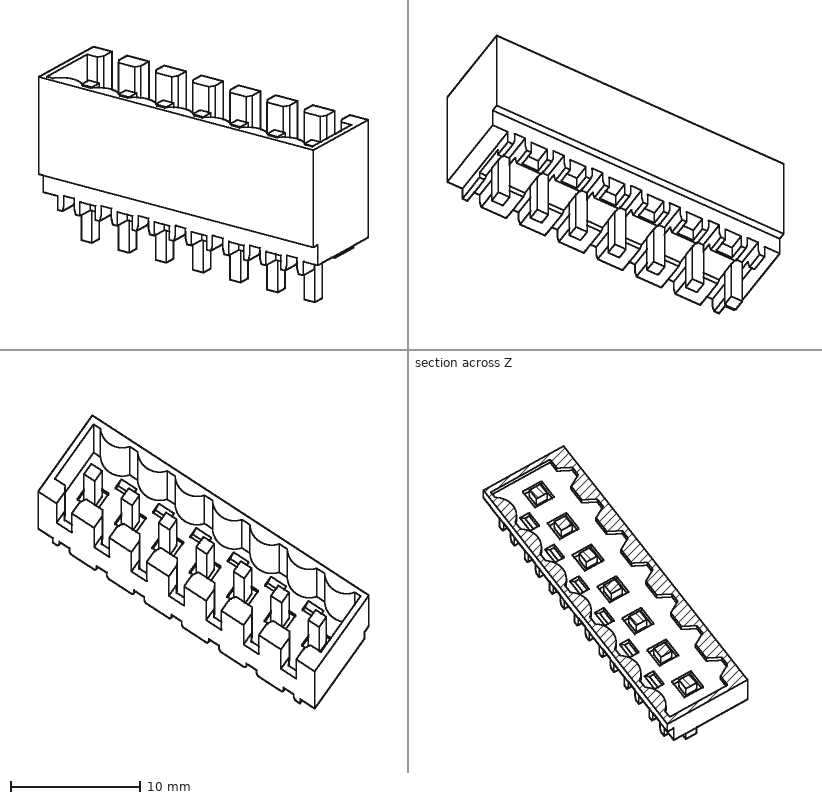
import cadquery as cq


PIN_COUNT = 7
ROW_SPAN = 21.0
PITCH = ROW_SPAN / (PIN_COUNT - 1)
PIN_SIDE = 1.0
PIN_Y = 3.5
PIN_TAIL = 3.2
PIN_TOP = 9.85

LENGTH = 25.9
DEPTH = 7.45
HEIGHT = 11.03
LEDGE_DEPTH = 0.6
LEDGE_Z = 2.87
END_STEP = 1.37
END_STEP_Z = 1.17

END_WALL = 0.5
FRONT_WALL = 0.47
FRONT_WALL_LEFT = 0.41
FRONT_WALL_RIGHT = 0.55
BACK_WALL = 1.58
CAVITY_FLOOR_Z = 3.52
RIB_WIDTH = 2.75
RIB_HEIGHT = 0.7

GROOVE_DEPTH = 1.04
GROOVE_MOUTH = 1.97
GROOVE_BOTTOM = 0.78
SLOT_WIDTH = 1.42
SLOT_DEPTH = 5.1

PIN_RECESS_SIDE = 1.75
PIN_RECESS_DEPTH = 0.52
POCKET_FRONT_Y = 1.11
POCKET_BACK_Y = 1.97
POCKET_DEPTH = 0.47

CHANNEL_WIDTH = 2.75
CHANNEL_HEIGHT = 0.55
WINDOW_WIDTH = SLOT_WIDTH
WINDOW_BACK_Y = POCKET_BACK_Y
PIN_NOTCH_WIDTH = 0.95
PIN_NOTCH_TOP = 1.32
PIN_FLARE_TOP = 0.5
PIN_NOTCH_MOUTH = 1.25

PIN_XS = [(i - (PIN_COUNT - 1) / 2) * PITCH for i in range(PIN_COUNT)]
GAP_XS = [x + PITCH / 2 for x in PIN_XS[:-1]]
CAVITY_BACK_Y = DEPTH - BACK_WALL


def block(x_range, y_range, z_range):
    """Box between the given limits."""
    (x0, x1), (y0, y1), (z0, z1) = x_range, y_range, z_range
    return cq.Workplane("XY").box(x1 - x0, y1 - y0, z1 - z0, centered=False).translate((x0, y0, z0))


def centred_block(x, width, y_range, z_range):
    """Box of the given width centred on x."""
    return block((x - width / 2, x + width / 2), y_range, z_range)


def envelope():
    """Outer block with the front ledge and the raised ends of the underside."""
    body = centred_block(0, LENGTH, (0, DEPTH), (END_STEP_Z, HEIGHT))
    body = body.cut(centred_block(0, LENGTH, (0, LEDGE_DEPTH), (END_STEP_Z, LEDGE_Z)))
    feet = centred_block(0, LENGTH - 2 * END_STEP, (LEDGE_DEPTH, DEPTH), (0, END_STEP_Z))
    return body.union(feet)


def front_rib(x):
    """Rounded rib on the inner face of the front wall, facing a pin."""
    radius = (RIB_WIDTH ** 2 / 4 + RIB_HEIGHT ** 2) / (2 * RIB_HEIGHT)
    centre_y = FRONT_WALL + RIB_HEIGHT - radius
    return (
        cq.Workplane("XY", origin=(x, centre_y, CAVITY_FLOOR_Z))
        .circle(radius)
        .extrude(HEIGHT - CAVITY_FLOOR_Z)
    )


def back_groove(x):
    """Tapered groove in the inner face of the back wall, down to the cavity floor."""
    return (
        cq.Workplane("XY", origin=(x, CAVITY_BACK_Y, CAVITY_FLOOR_Z))
        .polyline([
            (-GROOVE_MOUTH / 2, 0),
            (GROOVE_MOUTH / 2, 0),
            (GROOVE_BOTTOM / 2, GROOVE_DEPTH),
            (-GROOVE_BOTTOM / 2, GROOVE_DEPTH),
        ])
        .close()
        .extrude(HEIGHT - CAVITY_FLOOR_Z)
    )


def back_slot(x):
    """Slot through the back wall, open at the top."""
    return centred_block(x, SLOT_WIDTH, (CAVITY_BACK_Y, DEPTH), (HEIGHT - SLOT_DEPTH, HEIGHT))


def well():
    """Straight-sided well whose front wall differs in thickness at the two ends."""
    end_x = LENGTH / 2 - END_WALL
    z_range = (CAVITY_FLOOR_Z, HEIGHT)
    left = block((-end_x, PIN_XS[0]), (FRONT_WALL_LEFT, CAVITY_BACK_Y), z_range)
    middle = block((PIN_XS[0], PIN_XS[-1]), (FRONT_WALL, CAVITY_BACK_Y), z_range)
    right = block((PIN_XS[-1], end_x), (FRONT_WALL_RIGHT, CAVITY_BACK_Y), z_range)
    return left.union(middle).union(right)


def cavity():
    """Mating space: the well less the ribs, plus the back wall openings."""
    space = well()
    for x in PIN_XS:
        space = space.cut(front_rib(x)).union(back_groove(x)).union(back_slot(x))
    return space


def pin_recess(x):
    """Square recess in the cavity floor around a pin."""
    return centred_block(
        x,
        PIN_RECESS_SIDE,
        (PIN_Y - PIN_RECESS_SIDE / 2, PIN_Y + PIN_RECESS_SIDE / 2),
        (CAVITY_FLOOR_Z - PIN_RECESS_DEPTH, CAVITY_FLOOR_Z),
    )


def ramp_pocket(x):
    """Pocket in the cavity floor whose front part is a ramp."""
    return (
        cq.Workplane("YZ", origin=(x, 0, CAVITY_FLOOR_Z))
        .polyline([
            (POCKET_FRONT_Y, 0),
            (POCKET_FRONT_Y + POCKET_DEPTH, -POCKET_DEPTH),
            (POCKET_BACK_Y, -POCKET_DEPTH),
            (POCKET_BACK_Y, 0),
        ])
        .close()
        .extrude(WINDOW_WIDTH / 2, both=True)
    )


def channel():
    """Channel along the underside, centred on the pin row."""
    y_range = (PIN_Y - CHANNEL_WIDTH / 2, PIN_Y + CHANNEL_WIDTH / 2)
    return centred_block(0, LENGTH, y_range, (0, CHANNEL_HEIGHT))


def front_window(x):
    """Notch in the front foot between two pins."""
    return centred_block(x, WINDOW_WIDTH, (LEDGE_DEPTH, WINDOW_BACK_Y), (0, END_STEP_Z))


def pin_notch(x):
    """Notch across the underside at a pin, flared towards the seating plane."""
    return (
        cq.Workplane("XZ", origin=(x, DEPTH, 0))
        .polyline([
            (-PIN_NOTCH_MOUTH / 2, 0),
            (-PIN_NOTCH_WIDTH / 2, PIN_FLARE_TOP),
            (-PIN_NOTCH_WIDTH / 2, PIN_NOTCH_TOP),
            (PIN_NOTCH_WIDTH / 2, PIN_NOTCH_TOP),
            (PIN_NOTCH_WIDTH / 2, PIN_FLARE_TOP),
            (PIN_NOTCH_MOUTH / 2, 0),
        ])
        .close()
        .extrude(DEPTH - LEDGE_DEPTH)
    )


def make_pin(x):
    """Straight square contact pin."""
    y_range = (PIN_Y - PIN_SIDE / 2, PIN_Y + PIN_SIDE / 2)
    return centred_block(x, PIN_SIDE, y_range, (-PIN_TAIL, PIN_TOP))


def make_housing():
    """Insulating housing with a square hole for each pin."""
    body = envelope().cut(cavity()).cut(channel())
    for x in PIN_XS:
        body = body.cut(pin_recess(x)).cut(pin_notch(x)).cut(make_pin(x))
    for x in GAP_XS:
        body = body.cut(ramp_pocket(x)).cut(front_window(x))
    return body


housing = make_housing()
pins = [make_pin(x) for x in PIN_XS]

result = cq.Compound.makeCompound([housing.val(), *[pin.val() for pin in pins]])